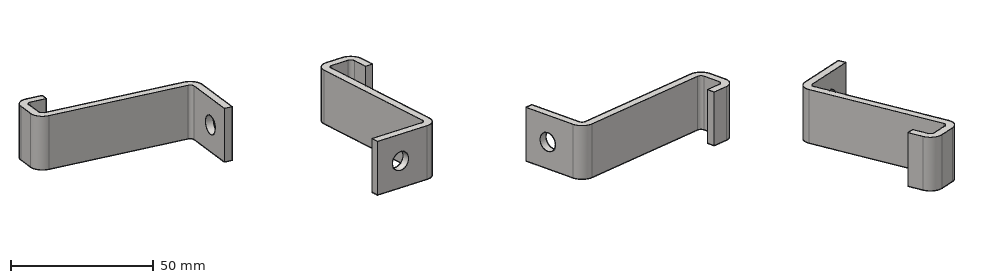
import cadquery as cq

INCH = 25.4

thickness = INCH / 8
inner_radius = INCH / 16
outer_radius = inner_radius + thickness
strip_width = 13 / 16 * INCH
overall_length = (2 + 9 / 16) * INCH
overall_depth = (1 + 19 / 32) * INCH
hook_gap_depth = 17 / 32 * INCH
hook_height = 7 / 16 * INCH
hole_diameter = 9 / 32 * INCH
hole_edge_distance = strip_width / 2

web_left = hook_gap_depth
web_right = web_left + thickness
flange_inner_y = overall_length - thickness


def round_corner(body, x, y, radius):
    """Fillet the vertical edge that passes through (x, y)."""
    edge = cq.selectors.NearestToPointSelector((x, y, strip_width / 2))
    return body.edges("|Z").edges(edge).fillet(radius)


def make_strip():
    """Strip with sharp bends: hook, web and mounting flange, extruded along Z."""
    outline = [
        (0, 0),
        (web_right, 0),
        (web_right, flange_inner_y),
        (overall_depth, flange_inner_y),
        (overall_depth, overall_length),
        (web_left, overall_length),
        (web_left, thickness),
        (thickness, thickness),
        (thickness, hook_height),
        (0, hook_height),
    ]
    return cq.Workplane("XY").polyline(outline).close().extrude(strip_width)


def round_bends(body):
    """Round the outside and inside of the three bends about common centres."""
    outer_corners = [(0, 0), (web_right, 0), (web_left, overall_length)]
    inner_corners = [(thickness, thickness), (web_left, thickness), (web_right, flange_inner_y)]
    for x, y in outer_corners:
        body = round_corner(body, x, y, outer_radius)
    for x, y in inner_corners:
        body = round_corner(body, x, y, inner_radius)
    return body


def make_flange_hole():
    """Cylinder along Y that pierces the mounting flange only."""
    return (
        cq.Workplane("XZ", origin=(0, overall_length, 0))
        .center(overall_depth - hole_edge_distance, strip_width / 2)
        .circle(hole_diameter / 2)
        .extrude(thickness)
    )


result = round_bends(make_strip()).cut(make_flange_hole())